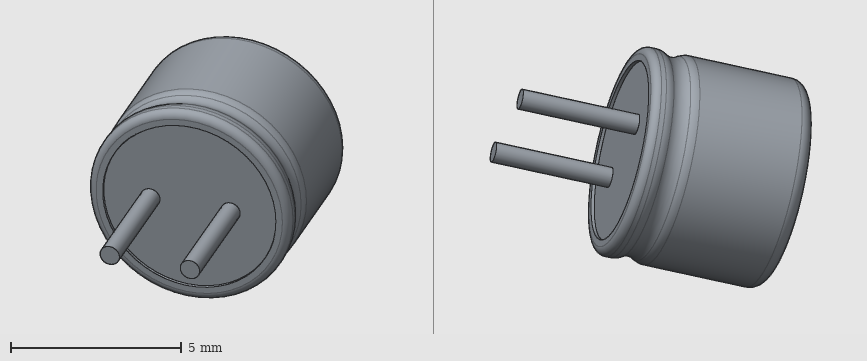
import cadquery as cq

TOTAL_LENGTH = 8.5
CAN_DIAMETER = 6.3
CAN_LENGTH = 5.0
BACK_FILLET = 0.4
FRONT_FILLET = 0.25

GROOVE_CENTER = 0.92
GROOVE_WIDTH = 1.04
GROOVE_DEPTH = 0.15

RECESS_DIAMETER = 5.4
RECESS_DEPTH = 0.1

LEAD_DIAMETER = 0.6
LEAD_SPACING = 2.5
LEAD_LENGTH = TOTAL_LENGTH - CAN_LENGTH

can_radius = CAN_DIAMETER / 2


def make_can():
    """Cylinder along +Y with rounded ends."""
    can = cq.Workplane("XZ").circle(can_radius).extrude(-CAN_LENGTH)
    can = can.faces(">Y").edges().fillet(BACK_FILLET)
    return can.faces("<Y").edges().fillet(FRONT_FILLET)


def make_groove():
    """Ring whose section has a convex shoulder on each side of a concave bottom.

    All arcs share one radius and meet tangentially at half the groove depth.
    """
    quarter = GROOVE_WIDTH / 4
    start = GROOVE_CENTER - 2 * quarter
    end = GROOVE_CENTER + 2 * quarter
    half_depth = GROOVE_DEPTH / 2
    arc_radius = (quarter**2 + half_depth**2) / (2 * half_depth)
    middle_radius = can_radius - half_depth
    return (
        cq.Workplane("XY")
        .moveTo(can_radius, start)
        .radiusArc((middle_radius, start + quarter), -arc_radius)
        .radiusArc((middle_radius, end - quarter), arc_radius)
        .radiusArc((can_radius, end), -arc_radius)
        .close()
        .revolve(360, (0, 0, 0), (0, 1, 0))
    )


def make_leads():
    """Two round leads that start on the floor of the recess."""
    return (
        cq.Workplane("XZ", origin=(0, RECESS_DEPTH, 0))
        .rarray(LEAD_SPACING, 0.085, 2, 1)
        .circle(LEAD_DIAMETER / 2)
        .extrude(LEAD_LENGTH + RECESS_DEPTH)
    )


recess = cq.Workplane("XZ").circle(RECESS_DIAMETER / 2).extrude(-RECESS_DEPTH)
result = make_can().cut(make_groove()).cut(recess).union(make_leads())